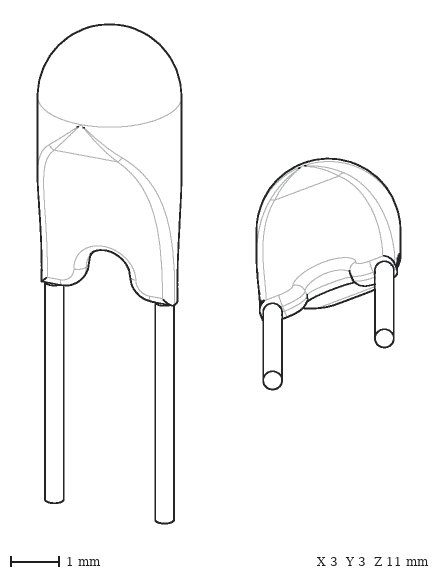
import cadquery as cq
import math

total_height = 11
bead_diameter = 3.0
lead_length = 5.0
lead_diameter = 0.4
lead_pitch = 2.5
waist_thickness = 0.51
waist_height = 0.33
notch_radius = 0.51
edge_radius = 0.2
crown_height = 0.07

bead_radius = bead_diameter / 2
equator_z = total_height - bead_radius
crown_z = equator_z - crown_height
waist_half = waist_thickness / 2
waist_z = lead_length + waist_height
notch_z = lead_length + notch_radius

waist_drop = equator_z - waist_z
side_step = bead_radius - waist_half
centre_distance = (waist_drop**2 + side_step**2) / (2 * side_step)
concave_radius = centre_distance - bead_radius
join_angle = math.asin(waist_drop / centre_distance)
foot_angle = math.asin(waist_height / concave_radius)


def convex_point(angle, side):
    """Point on the convex arc, the given angle below the equator; side is -1 or 1."""
    y = bead_radius * math.cos(angle)
    return side * y, equator_z - bead_radius * math.sin(angle)


def concave_point(angle, side):
    """Point on the concave arc, the given angle above the waist; side is -1 or 1."""
    y = waist_half + concave_radius * (1 - math.cos(angle))
    return side * y, waist_z + concave_radius * math.sin(angle)


def make_flank_prism():
    """Side profile of the body, extruded across the full width in X."""
    half_angle = join_angle / 2
    return (
        cq.Workplane("YZ")
        .moveTo(-bead_radius, equator_z)
        .threePointArc(convex_point(half_angle, -1), convex_point(join_angle, -1))
        .threePointArc(concave_point(half_angle, -1), concave_point(-foot_angle, -1))
        .lineTo(*concave_point(-foot_angle, 1))
        .threePointArc(concave_point(half_angle, 1), convex_point(join_angle, 1))
        .threePointArc(convex_point(half_angle, 1), (bead_radius, equator_z))
        .close()
        .extrude(bead_radius, both=True)
    )


def make_notch():
    """Arched notch between the leads, flaring out tangentially into the bottom face."""
    bend = notch_radius * math.sqrt(0.5)
    flare_x = 2 * notch_radius
    return (
        cq.Workplane("XZ")
        .moveTo(-flare_x, lead_length)
        .threePointArc((bend - flare_x, notch_z - bend), (-notch_radius, notch_z))
        .threePointArc((0, notch_z + notch_radius), (notch_radius, notch_z))
        .threePointArc((flare_x - bend, notch_z - bend), (flare_x, lead_length))
        .close()
        .extrude(bead_radius, both=True)
    )


def make_slab(bottom_z, top_z):
    """Square block between two levels that covers the whole bead."""
    return (
        cq.Workplane("XY", origin=(0, 0, bottom_z))
        .rect(bead_diameter, bead_diameter)
        .extrude(top_z - bottom_z)
    )


def is_flank_rim(edge):
    """True for the edges around a flank, but not for straight lines across it higher up."""
    centre = edge.Center()
    beside_middle = abs(centre.y) > waist_half / 2
    crosses_flank = edge.geomType() == "LINE" and centre.z > waist_z
    return beside_middle and not crosses_flank


def make_body():
    """Cylinder cut to the flank profile and notched, with its flank rims rounded.

    The flanks meet the cylinder tangentially at the equator, so the rounding fades
    to nothing there; it stops at the crown, a thin slice that is left sharp.
    """
    cylinder = (
        cq.Workplane("XY", origin=(0, 0, lead_length))
        .circle(bead_radius)
        .extrude(equator_z - lead_length)
    )
    sharp_body = cylinder.intersect(make_flank_prism()).cut(make_notch())
    crown = sharp_body.intersect(make_slab(crown_z, equator_z))
    lower_body = sharp_body.intersect(make_slab(lead_length, crown_z))
    rounded_body = lower_body.edges().filter(is_flank_rim).fillet(edge_radius)
    return rounded_body.union(crown)


def make_dome():
    """Upper half of the bead."""
    sphere = cq.Workplane("XY", origin=(0, 0, equator_z)).sphere(bead_radius)
    return sphere.intersect(make_slab(equator_z, total_height))


def make_leads():
    """Two round wires from Z = 0 up to the bottom face of the body."""
    return (
        cq.Workplane("XY")
        .pushPoints([(-lead_pitch / 2, 0), (lead_pitch / 2, 0)])
        .circle(lead_diameter / 2)
        .extrude(lead_length)
    )


result = make_body().union(make_dome()).union(make_leads())